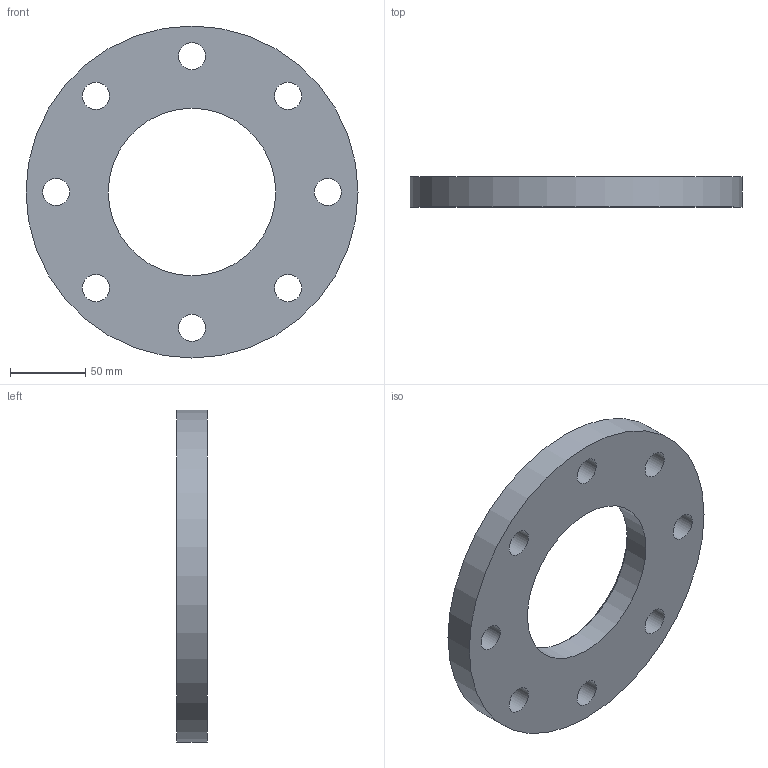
import cadquery as cq

outer_diameter = 220.0
bore_diameter = 111.0
thickness = 20.0
bore_chamfer = 2.5

bolt_circle_diameter = 180.0
bolt_hole_diameter = 18.0
bolt_hole_count = 8


def make_ring():
    """Disc with a central through bore, centred on the origin in X and Z."""
    return (
        cq.Workplane("XZ")
        .circle(outer_diameter / 2)
        .circle(bore_diameter / 2)
        .extrude(thickness)
    )


def make_bolt_holes():
    """Cylinders to cut from the ring, one per bolt."""
    return (
        cq.Workplane("XZ")
        .polarArray(bolt_circle_diameter / 2, 0, 360, bolt_hole_count)
        .circle(bolt_hole_diameter / 2)
        .extrude(thickness)
    )


def chamfer_bore(ring):
    """Break the bore edge on the +Y face."""
    return ring.faces(">Y").edges(cq.selectors.RadiusNthSelector(0)).chamfer(bore_chamfer)


result = chamfer_bore(make_ring()).cut(make_bolt_holes())